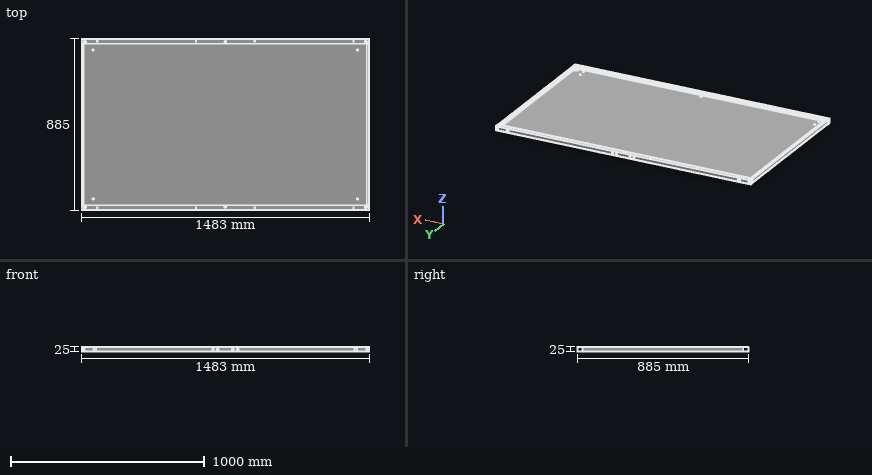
import cadquery as cq

length = 1483.0
width = 885.0
height = 25.0
sheet = 2.2
bend_radius = 2.5

side_flange = 25.0
end_flange = 12.0
corner_gap = 1.0

corner_hole_diameter = 10.0
corner_hole_inset = 16.0
middle_hole_diameter = 7.0
middle_hole_inset = 16.0

flange_hole_diameter = 5.0
flange_hole_inset = 13.0
flange_hole_outer_x = 661.0
flange_hole_inner_x = 151.0
access_hole_diameter = 7.0
access_hole_inset = 16.0
access_hole_x = 685.0

floor_hole_diameter = 6.0
floor_hole_x = 682.0
floor_hole_y = 384.0

large_wall_hole_diameter = 13.0
large_wall_hole_x = 673.0
small_wall_hole_diameter = 7.0
small_wall_hole_xs = (39.0, 64.0, 731.0)

half_length = length / 2
half_width = width / 2
clear_height = height - 2 * sheet
end_rim_length = width - 2 * (side_flange + corner_gap)


def box(size_x, size_y, size_z, centre_x=0, centre_y=0, bottom=0):
    block = cq.Workplane("XY").box(size_x, size_y, size_z, centered=(True, True, False))
    return block.translate((centre_x, centre_y, bottom))


def side_rim(side):
    """C-shaped channel along the +Y or -Y side, open towards the middle."""
    centre_y = side * (half_width - side_flange / 2)
    outer_face = ">Y" if side > 0 else "<Y"
    rim = box(length, side_flange, height, 0, centre_y)
    rim = rim.faces(outer_face).edges("|X").fillet(bend_radius)
    return rim.cut(box(length, side_flange, clear_height, 0, centre_y - side * sheet, sheet))


def end_rim(end):
    """C-shaped channel at the +X or -X end, stopping short of the side rims."""
    centre_x = end * (half_length - end_flange / 2)
    outer_face = ">X" if end > 0 else "<X"
    rim = box(end_flange, end_rim_length, height, centre_x)
    rim = rim.faces(outer_face).edges("|Y").fillet(bend_radius)
    return rim.cut(box(end_flange, end_rim_length, clear_height, centre_x - end * sheet, 0, sheet))


def four_corners(x, y):
    return [(sx * x, sy * y) for sx in (-1, 1) for sy in (-1, 1)]


def vertical_pins(points, diameter, bottom, depth):
    return cq.Workplane("XY", origin=(0, 0, bottom)).pushPoints(points).circle(diameter / 2).extrude(depth)


def wall_pins(x, diameter):
    """Pins at +x and -x, crossing both side walls at mid height."""
    points = [(-x, height / 2), (x, height / 2)]
    return cq.Workplane("XZ").pushPoints(points).circle(diameter / 2).extrude(half_width, both=True)


floor_length = length - 2 * end_flange
floor_width = width - 2 * side_flange
body = box(floor_length, floor_width, sheet)
for direction in (-1, 1):
    body = body.union(side_rim(direction))
    body = body.union(end_rim(direction))

corner_points = four_corners(half_length - corner_hole_inset, half_width - corner_hole_inset)
middle_points = [(0, side * (half_width - middle_hole_inset)) for side in (-1, 1)]
body = body.cut(vertical_pins(corner_points, corner_hole_diameter, 0, height))
body = body.cut(vertical_pins(middle_points, middle_hole_diameter, 0, height))

flange_hole_y = half_width - flange_hole_inset
outer_points = four_corners(flange_hole_outer_x, flange_hole_y)
inner_points = four_corners(flange_hole_inner_x, flange_hole_y)
body = body.cut(vertical_pins(outer_points + inner_points, flange_hole_diameter, height - sheet, sheet))
access_points = four_corners(access_hole_x, half_width - access_hole_inset)
body = body.cut(vertical_pins(access_points, access_hole_diameter, 0, sheet))

body = body.cut(vertical_pins(four_corners(floor_hole_x, floor_hole_y), floor_hole_diameter, 0, sheet))

body = body.cut(wall_pins(large_wall_hole_x, large_wall_hole_diameter))
for x in small_wall_hole_xs:
    body = body.cut(wall_pins(x, small_wall_hole_diameter))

result = body